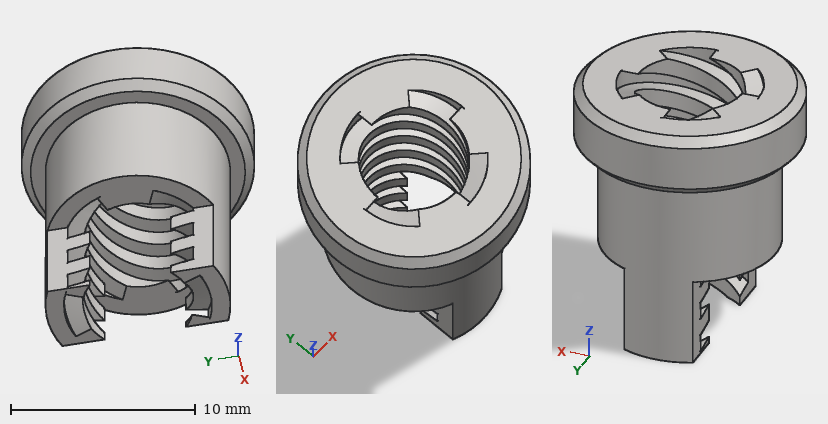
import cadquery as cq

total_height = 14.5
flange_height = 3.5
leg_length = 5.0

flange_diameter = 12.6
flange_chamfer = 0.5
body_diameter = 10.0
leg_width = 4.0

minor_diameter = 6.0
major_diameter = 8.0
thread_starts = 4
thread_lead = 8.0
groove_height = thread_lead / thread_starts / 2
groove_top_angle = 1.0
groove_overlap = 0.5
cutter_overrun = 1.0


def make_blank():
    """Stepped round body with a flange chamfered on both rims."""
    body = cq.Workplane("XY").circle(body_diameter / 2).extrude(total_height)
    flange = (
        cq.Workplane("XY", origin=(0, 0, total_height - flange_height))
        .circle(flange_diameter / 2)
        .extrude(flange_height)
        .edges()
        .chamfer(flange_chamfer)
    )
    return body.union(flange)


def cut_legs(blank):
    """Remove both sides of the lower body, leaving a bar that the bore splits into two legs."""
    side_offset = (leg_width + body_diameter) / 2
    sides = (
        cq.Workplane("XY")
        .pushPoints([(-side_offset, 0), (side_offset, 0)])
        .rect(body_diameter, 2 * body_diameter)
        .extrude(leg_length)
    )
    return blank.cut(sides)


def make_groove():
    """Helical groove cutter: a rectangle in the XZ plane swept along a helix from angle zero."""
    inner = minor_diameter / 2 - groove_overlap
    outer = major_diameter / 2
    length = total_height + 2 * cutter_overrun
    helix = cq.Workplane(cq.Wire.makeHelix(thread_lead, length, outer))
    return (
        cq.Workplane("XZ")
        .center((inner + outer) / 2, 0)
        .rect(outer - inner, groove_height)
        .sweep(helix, isFrenet=True)
    )


def cut_thread(part):
    """Cut one groove per thread start, then bore the minor diameter."""
    rise_to_top = total_height + cutter_overrun - groove_height / 2
    first_angle = groove_top_angle - 360 * rise_to_top / thread_lead
    groove = make_groove().translate((0, 0, -cutter_overrun))
    for start in range(thread_starts):
        angle = first_angle + start * 360 / thread_starts
        part = part.cut(groove.rotate((0, 0, 0), (0, 0, 1), angle))
    bore = cq.Workplane("XY").circle(minor_diameter / 2).extrude(total_height)
    return part.cut(bore)


result = cut_thread(cut_legs(make_blank()))